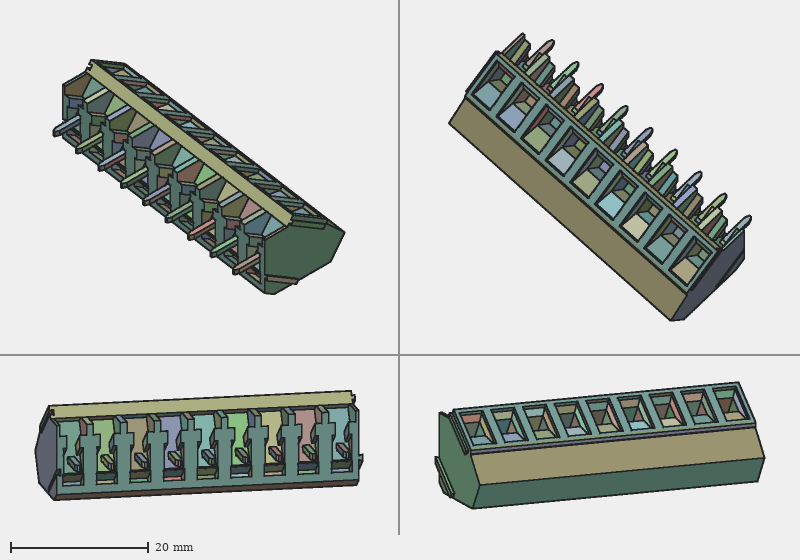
import cadquery as cq
import math


body_length = 45.0
pole_count = 9
pitch = body_length / pole_count
tilt = math.radians(35)
ridge_y = 5.5
ridge_z = 13.3
ridge_face_height = 2.05
step_y = 12.1
step_bottom_z = 8.05
step_top_z = 8.6
lip_run = 0.27
rear_root_y = 11.95
rear_y = 15.45
rear_z = 4.15
base_rear_y = 12.7
base_front_y = 1.82
base_bevel_rise = base_front_y * math.tan(tilt)

channel_stop = 1.35
outside = -13.7
upper_width = 4.0
upper_sill_z = 10.05
neck_width = 1.95
neck_sill_z = 8.15
lower_width = 2.9
lower_sill_z = 4.4
notch_width = 3.1
notch_top_z = 4.2
notch_bottom_z = 2.55
notch_stop = 3.65

window_width = 3.65
window_start = 0.75
window_end = 7.2
mouth_depth = 0.65
throat_depth = 1.35
well_width = 2.75
well_start = 1.7
well_end = 4.42
well_depth = 5.7

pin_size = 0.9
pin_bottom_z = 5.55
pin_reach = 3.85
pin_bend_y = 1.65
pin_root = 2.3
pin_tip_length = 0.75
pin_tip_width = 0.35

joint_depths = (1.05, 10.3)
joint_end = 7.5
joint_mouth = 0.55
joint_flare = 0.15
groove_depth = 0.6
tongue_heights = (0.45, 0.6)


def sloped(along, depth):
    """(y, z) of a point given its distance down the roof from the ridge and its depth below the roof."""
    y = ridge_y + along * math.cos(tilt) - depth * math.sin(tilt)
    z = ridge_z - along * math.sin(tilt) - depth * math.cos(tilt)
    return y, z


def depth_at_wall(z):
    """Depth below the roof of the point at height z on the pin-side wall."""
    return ridge_y * math.sin(tilt) + (ridge_z - z) * math.cos(tilt)


def prism(points, x_start, x_end):
    """Extrude a closed (y, z) outline along X."""
    return cq.Workplane("YZ").workplane(offset=x_start).polyline(points).close().extrude(x_end - x_start)


def sloped_box(x_mid, width, along_start, along_end, depth_start, depth_end):
    """Box with its sides parallel and square to the roof."""
    corners = [
        sloped(along_start, depth_start),
        sloped(along_end, depth_start),
        sloped(along_end, depth_end),
        sloped(along_start, depth_end),
    ]
    return prism(corners, x_mid - width / 2, x_mid + width / 2)


def housing(x_start, x_end):
    shelf_y, shelf_z = sloped(0, ridge_face_height)
    lip_y = step_y - lip_run
    outline = [
        (0, base_bevel_rise),
        (base_front_y, 0),
        (base_rear_y, 0),
        (rear_y, rear_z),
        (rear_root_y, step_bottom_z - (step_y - rear_root_y)),
        (step_y, step_bottom_z),
        (step_y, step_top_z),
        (lip_y, ridge_z - (lip_y - ridge_y) * math.tan(tilt)),
        (ridge_y, ridge_z),
        (shelf_y, shelf_z),
        (0, shelf_z),
    ]
    return prism(outline, x_start, x_end)


def pin_side_cut(x_mid):
    """Stepped channel open to the shelf and the pin-side wall, with a deeper notch below it."""
    upper_sill = depth_at_wall(upper_sill_z)
    neck_sill = depth_at_wall(neck_sill_z)
    lower_sill = depth_at_wall(lower_sill_z)
    upper = sloped_box(x_mid, upper_width, outside, channel_stop, ridge_face_height, upper_sill)
    neck = sloped_box(x_mid, neck_width, outside, channel_stop, ridge_face_height, neck_sill)
    lower = sloped_box(x_mid, lower_width, outside, channel_stop, neck_sill, lower_sill)
    notch_top = depth_at_wall(notch_top_z)
    notch_bottom = depth_at_wall(notch_bottom_z)
    notch = sloped_box(x_mid, notch_width, outside, notch_stop, notch_top, notch_bottom)
    return upper.union(neck).union(lower).union(notch)


def window_cut(x_mid):
    """Rectangular roof opening that narrows into a well."""
    roof = cq.Plane(
        origin=(x_mid, ridge_y, ridge_z),
        xDir=(1, 0, 0),
        normal=(0, math.sin(tilt), math.cos(tilt)),
    )
    window_mid = (window_start + window_end) / 2
    well_mid = (well_start + well_end) / 2
    throat = (
        cq.Workplane(roof)
        .workplane(offset=-mouth_depth)
        .center(0, window_mid)
        .rect(window_width, window_end - window_start)
        .workplane(offset=mouth_depth - throat_depth)
        .center(0, well_mid - window_mid)
        .rect(well_width, well_end - well_start)
        .loft(ruled=True)
    )
    mouth = sloped_box(x_mid, window_width, window_start, window_end, 0, mouth_depth)
    well = sloped_box(x_mid, well_width, well_start, well_end, throat_depth, well_depth)
    return mouth.union(throat).union(well)


def pin(x_mid):
    """Square pin, bent down parallel to the roof where it enters the housing, tapered at the tip."""
    top_z = pin_bottom_z + pin_size
    lower_bend_y = pin_bend_y - pin_size * math.tan(tilt / 2)
    root_dy = pin_root * math.cos(tilt)
    root_dz = pin_root * math.sin(tilt)
    side = [
        (-pin_reach, top_z),
        (pin_bend_y, top_z),
        (pin_bend_y + root_dy, top_z - root_dz),
        (lower_bend_y + root_dy, pin_bottom_z - root_dz),
        (lower_bend_y, pin_bottom_z),
        (-pin_reach, pin_bottom_z),
    ]
    bar = prism(side, x_mid - pin_size / 2, x_mid + pin_size / 2)
    shoulder_y = pin_tip_length - pin_reach
    plan = [
        (x_mid - pin_tip_width / 2, -pin_reach),
        (x_mid + pin_tip_width / 2, -pin_reach),
        (x_mid + pin_size / 2, shoulder_y),
        (x_mid + pin_size / 2, rear_y),
        (x_mid - pin_size / 2, rear_y),
        (x_mid - pin_size / 2, shoulder_y),
    ]
    return bar.intersect(cq.Workplane("XY").polyline(plan).close().extrude(ridge_z))


def dovetail(x_root, height, depth):
    """Rail rising in +X from x_root, parallel to the roof, wider at its top, trimmed to the housing."""

    def outline(flare):
        return [
            sloped(outside, depth - joint_mouth / 2 - flare),
            sloped(joint_end + flare, depth - joint_mouth / 2 - flare),
            sloped(joint_end + flare, depth + joint_mouth / 2 + flare),
            sloped(outside, depth + joint_mouth / 2 + flare),
        ]

    rail = (
        cq.Workplane("YZ")
        .workplane(offset=x_root)
        .polyline(outline(0))
        .close()
        .workplane(offset=height)
        .polyline(outline(joint_flare))
        .close()
        .loft(ruled=True)
    )
    return rail.intersect(housing(x_root, x_root + height))


result = housing(0, body_length)

for pole in range(pole_count):
    pole_x = (pole + 0.5) * pitch
    result = result.cut(pin_side_cut(pole_x)).cut(window_cut(pole_x)).union(pin(pole_x))

for joint_depth, tongue_height in zip(joint_depths, tongue_heights):
    result = result.cut(dovetail(0, groove_depth, joint_depth))
    result = result.union(dovetail(body_length, tongue_height, joint_depth))